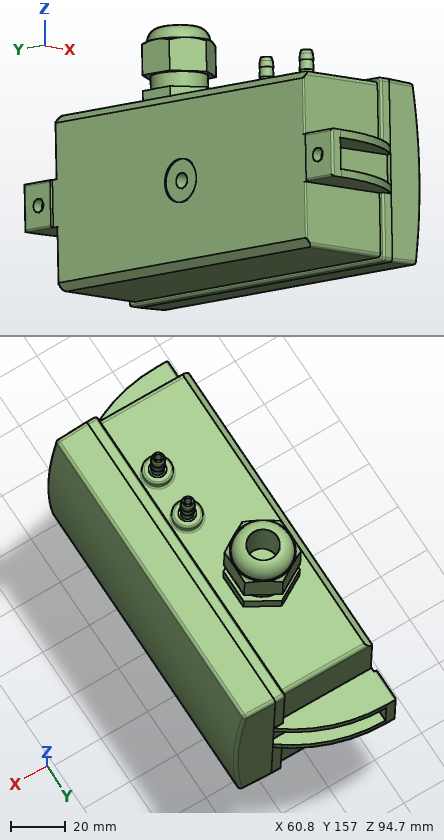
import cadquery as cq
import math

LEAN_ANGLE = 1.5

BOX_DEPTH = 43.0
BOX_HALF_WIDTH = 63.3
BOX_HALF_HEIGHT = 32.5
BOX_BACK_CHAMFER = 3.0
BOX_EDGE_RADIUS = 1.5
BOX_BACK_RADIUS = 0.55

RIM_HALF_WIDTH = 65.0
RIM_HALF_HEIGHT = 33.9
RIM_DEPTH = 4.4
RIM_CORNER_RADIUS = 1.4
RIM_BACK_RADIUS = 0.8
LID_DRAFT = 1.8
LID_EDGE_DEPTH = 13.2
LID_CROWN_DEPTH = 16.2
LID_FRONT_RADIUS = 1.3

LUG_REACH = 78.5
LUG_HALF_HEIGHT = 8.8
LUG_WALL = 3.0
LUG_PLATE = 4.4
LUG_PROUD = 1.3
LUG_EDGE_RADIUS = 0.8
LUG_HOLE_DIAMETER = 5.0
LUG_HOLE_Y = 71.1

BACK_RECESS_DIAMETER = 16.0
BACK_RECESS_DEPTH = 0.6
BACK_HOLE_DIAMETER = 5.7
BACK_HOLE_DEPTH = 6.3

GLAND_X = -22.3
GLAND_Y = 19.8
GLAND_FLATS = 24.2
GLAND_BASE_HEIGHT = 5.0
GLAND_NECK_DIAMETER = 21.0
GLAND_NECK_HEIGHT = 5.8
GLAND_NUT_HEIGHT = 12.4
GLAND_NUT_BEVEL = 30.0
GLAND_DOME_RADIUS = 11.6
GLAND_DOME_HEIGHT = 5.5

PORT_X = -11.6
PORT_YS = (-14.1, -34.5)
BOSS_DIAMETER = 11.5
BOSS_HEIGHT = 3.5
BOSS_TOP_RADIUS = 0.8
BOSS_FOOT_RADIUS = 0.6
BARB_SEAT_DIAMETER = 6.6
BARB_HEIGHT = 11.0
BARB_NECK_DIAMETER = 4.9
BARB_RIDGE_DIAMETER = 5.3
BARB_TIP_DIAMETER = 4.0
BARB_TIP_HEIGHT = 1.4
BARB_UPPER_RIDGE = 7.2
BARB_LOWER_RIDGE = 3.6
BARB_BORE_DIAMETER = 2.5


def block(x_start, x_end, half_width, half_height):
    """Box between two X positions, centred on Y = 0 and Z = 0."""
    return cq.Workplane("XY").box(
        x_end - x_start, 2 * half_width, 2 * half_height, centered=(False, True, True)
    ).translate((x_start, 0, 0))


def x_cylinder(x_start, length, diameter, y=0.0):
    """Cylinder along +X at Z = 0."""
    return cq.Workplane("YZ", origin=(x_start, y, 0)).circle(diameter / 2).extrude(length)


def make_box():
    box = block(-BOX_DEPTH, 0, BOX_HALF_WIDTH, BOX_HALF_HEIGHT)
    box = box.edges("<X and |Y").chamfer(BOX_BACK_CHAMFER)
    box = box.faces("|Z").edges("|X").fillet(BOX_EDGE_RADIUS)
    return box.faces("<X").edges("|Z").fillet(BOX_BACK_RADIUS)


def make_rim():
    rim = block(-RIM_DEPTH, 0, RIM_HALF_WIDTH, RIM_HALF_HEIGHT)
    return rim.edges("|X").fillet(RIM_CORNER_RADIUS).faces("<X").edges().fillet(RIM_BACK_RADIUS)


def make_lug():
    """Lug on the +Y end: a back plate and two webs that run forward and curve in to the rim."""
    plate_front = -BOX_DEPTH - LUG_PROUD + LUG_PLATE
    plate_back = -BOX_DEPTH - LUG_PROUD
    root = BOX_HALF_WIDTH - BOX_BACK_RADIUS
    fall = LUG_REACH - RIM_HALF_WIDTH
    arc_radius = (plate_front**2 + fall**2) / (2 * fall)
    half_turn = math.asin(-plate_front / arc_radius) / 2
    arc_middle = (
        plate_front + arc_radius * math.sin(half_turn),
        LUG_REACH - arc_radius * (1 - math.cos(half_turn)),
    )
    lug = (
        cq.Workplane("XY", origin=(0, 0, -LUG_HALF_HEIGHT))
        .moveTo(-BOX_DEPTH, root)
        .lineTo(-BOX_DEPTH, RIM_HALF_WIDTH)
        .lineTo(plate_back, RIM_HALF_WIDTH)
        .lineTo(plate_back, LUG_REACH)
        .lineTo(plate_front, LUG_REACH)
        .threePointArc(arc_middle, (0, RIM_HALF_WIDTH))
        .lineTo(0, root)
        .close()
        .extrude(2 * LUG_HALF_HEIGHT)
    )
    lug = lug.faces("<X").edges("|Y or >Y").fillet(LUG_EDGE_RADIUS)
    pocket = cq.Workplane("XY").box(
        -plate_front,
        LUG_REACH - BOX_HALF_WIDTH,
        2 * (LUG_HALF_HEIGHT - LUG_WALL),
        centered=(False, False, True),
    ).translate((plate_front, BOX_HALF_WIDTH, 0))
    return lug.cut(pocket).cut(x_cylinder(plate_back, LUG_PLATE, LUG_HOLE_DIAMETER, LUG_HOLE_Y))


def make_rim_gap():
    """Gap in the rim on the +Y end that the lug fills."""
    return cq.Workplane("XY").box(
        RIM_DEPTH,
        RIM_HALF_WIDTH - BOX_HALF_WIDTH,
        2 * LUG_HALF_HEIGHT,
        centered=(False, False, True),
    ).translate((-RIM_DEPTH, BOX_HALF_WIDTH, 0))


def make_boss(y):
    """Round boss for a hose barb, with a rounded rim and a hollow round at its foot."""
    radius = BOSS_DIAMETER / 2
    top = BOSS_HEIGHT
    return (
        cq.Workplane("XZ")
        .lineTo(radius + BOSS_FOOT_RADIUS, 0)
        .radiusArc((radius, BOSS_FOOT_RADIUS), BOSS_FOOT_RADIUS)
        .lineTo(radius, top - BOSS_TOP_RADIUS)
        .radiusArc((radius - BOSS_TOP_RADIUS, top), -BOSS_TOP_RADIUS)
        .lineTo(0, top)
        .close()
        .revolve(360, (0, 0), (0, 1))
        .translate((PORT_X, y, BOX_HALF_HEIGHT))
    )


def make_barb_seat(y):
    """Round hole through the boss that receives the foot of a barb."""
    return (
        cq.Workplane("XY", origin=(PORT_X, y, BOX_HALF_HEIGHT))
        .circle(BARB_SEAT_DIAMETER / 2)
        .extrude(BOSS_HEIGHT)
    )


def make_housing():
    lug = make_lug()
    gap = make_rim_gap()
    housing = make_box().union(make_rim())
    for end_lug, end_gap in ((lug, gap), (lug.mirror("XZ"), gap.mirror("XZ"))):
        housing = housing.cut(end_gap).union(end_lug)
    for y in PORT_YS:
        housing = housing.union(make_boss(y)).cut(make_barb_seat(y))
    housing = housing.cut(x_cylinder(-BOX_DEPTH, BACK_RECESS_DEPTH, BACK_RECESS_DIAMETER))
    return housing.cut(x_cylinder(-BOX_DEPTH, BACK_HOLE_DEPTH, BACK_HOLE_DIAMETER))


def make_lid():
    """Drafted cover whose front face is crowned from bottom to top."""
    cover = (
        cq.Workplane("YZ")
        .rect(2 * RIM_HALF_WIDTH, 2 * RIM_HALF_HEIGHT)
        .extrude(LID_CROWN_DEPTH, taper=LID_DRAFT)
        .edges("not #X")
        .fillet(RIM_CORNER_RADIUS)
    )
    crown = (
        cq.Workplane("XZ", origin=(0, RIM_HALF_WIDTH, 0))
        .moveTo(0, -RIM_HALF_HEIGHT)
        .lineTo(LID_EDGE_DEPTH, -RIM_HALF_HEIGHT)
        .threePointArc((LID_CROWN_DEPTH, 0), (LID_EDGE_DEPTH, RIM_HALF_HEIGHT))
        .lineTo(0, RIM_HALF_HEIGHT)
        .close()
        .extrude(2 * RIM_HALF_WIDTH)
    )
    lid = cover.intersect(crown)
    return lid.faces(">X").edges().fillet(LID_FRONT_RADIUS)


def hexagon(z_start, height):
    """Hexagonal prism on the gland axis with two flats square to X."""
    sides = 6
    corner_diameter = GLAND_FLATS / math.cos(math.pi / sides)
    return (
        cq.Workplane("XY", origin=(0, 0, z_start))
        .transformed(rotate=(0, 0, 90))
        .polygon(sides, corner_diameter)
        .extrude(height)
    )


def make_gland():
    neck_bottom = GLAND_BASE_HEIGHT
    nut_bottom = neck_bottom + GLAND_NECK_HEIGHT
    nut_top = nut_bottom + GLAND_NUT_HEIGHT
    dome_top = nut_top + GLAND_DOME_HEIGHT
    opening_radius = GLAND_DOME_RADIUS - GLAND_DOME_HEIGHT

    neck = (
        cq.Workplane("XY", origin=(0, 0, neck_bottom))
        .circle(GLAND_NECK_DIAMETER / 2)
        .extrude(GLAND_NECK_HEIGHT)
    )
    cone_height = GLAND_FLATS / 2 * math.tan(math.radians(GLAND_NUT_BEVEL))
    cone = (
        cq.Workplane("XZ")
        .moveTo(0, nut_bottom)
        .lineTo(GLAND_FLATS, nut_bottom)
        .lineTo(GLAND_FLATS, nut_top - cone_height)
        .lineTo(GLAND_FLATS / 2, nut_top)
        .lineTo(0, nut_top)
        .close()
        .revolve(360, (0, 0), (0, 1))
    )
    nut = hexagon(nut_bottom, GLAND_NUT_HEIGHT).intersect(cone)
    dome = (
        cq.Workplane("XZ")
        .moveTo(0, nut_top)
        .lineTo(GLAND_DOME_RADIUS, nut_top)
        .radiusArc((opening_radius, dome_top), -GLAND_DOME_HEIGHT)
        .lineTo(0, dome_top)
        .close()
        .revolve(360, (0, 0), (0, 1))
    )
    cable_bore = (
        cq.Workplane("XY", origin=(0, 0, nut_bottom))
        .circle(opening_radius)
        .extrude(dome_top - nut_bottom)
    )
    gland = hexagon(0, GLAND_BASE_HEIGHT).union(neck).union(nut).union(dome).cut(cable_bore)
    return gland.translate((GLAND_X, GLAND_Y, BOX_HALF_HEIGHT))


def make_barb(y):
    """Hose barb: a foot seated in the boss, two ridges and a tapered tip, bored through."""
    seat_radius = BARB_SEAT_DIAMETER / 2
    neck_radius = BARB_NECK_DIAMETER / 2
    ridge_radius = BARB_RIDGE_DIAMETER / 2
    tip_radius = BARB_TIP_DIAMETER / 2
    bore_radius = BARB_BORE_DIAMETER / 2
    tip_start = BARB_HEIGHT - BARB_TIP_HEIGHT
    return (
        cq.Workplane("XZ")
        .moveTo(bore_radius, -BOSS_HEIGHT)
        .lineTo(seat_radius, -BOSS_HEIGHT)
        .lineTo(seat_radius, 0)
        .lineTo(neck_radius, 0)
        .lineTo(neck_radius, BARB_LOWER_RIDGE)
        .lineTo(ridge_radius, BARB_LOWER_RIDGE)
        .lineTo(neck_radius, BARB_UPPER_RIDGE)
        .lineTo(ridge_radius, BARB_UPPER_RIDGE)
        .lineTo(neck_radius, tip_start)
        .lineTo(tip_radius, BARB_HEIGHT)
        .lineTo(bore_radius, BARB_HEIGHT)
        .close()
        .revolve(360, (0, 0), (0, 1))
        .translate((PORT_X, y, BOX_HALF_HEIGHT + BOSS_HEIGHT))
    )


def lean_back(body):
    """Tip a body about the Y axis so that its top moves toward -X."""
    return body.rotate((0, 0, 0), (0, 1, 0), -LEAN_ANGLE)


housing = lean_back(make_housing())
lid = lean_back(make_lid())
gland = lean_back(make_gland())
barbs = [lean_back(make_barb(y)) for y in PORT_YS]

result = cq.Compound.makeCompound(
    [housing.val(), lid.val(), gland.val(), *[barb.val() for barb in barbs]]
)